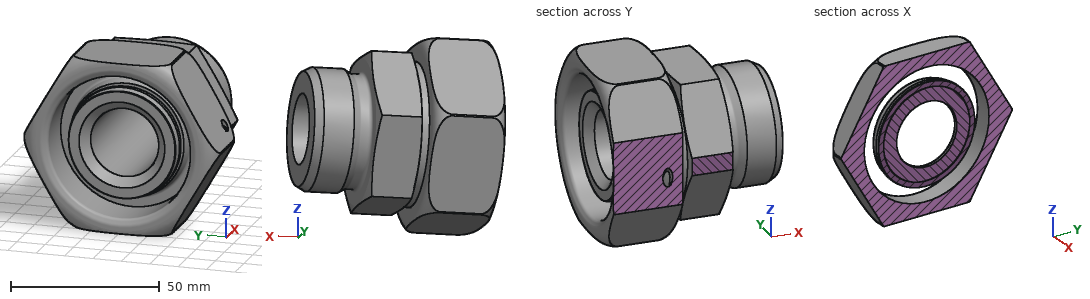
import cadquery as cq
import math


HEX_HALF_ANGLE = math.radians(30)
QUARTER_ARC_RISE = 1 - math.cos(math.radians(45))

NUT_LENGTH = 25.0
NUT_FLATS = 60.0
NUT_CORNER_DIAMETER = 69.0
NUT_CORNER_ROUND = 5.45
NUT_BORE_DIAMETER = 50.0
NUT_REAR_BORE_DIAMETER = 49.3
NUT_MOUTH_DIAMETER = 55.35
MOUTH_OUTER_ROUND = 1.9
MOUTH_INNER_ROUND = 1.45
MOUTH_ANGLE = 30.0

FITTING_LENGTH = 63.5
BODY_BORE_DIAMETER = 24.0
BORE_MOUTH_DIAMETER = 30.2
BORE_MOUTH_DEPTH = 3.1
CONE_ANGLE = 12.0
CONE_TIP_X = 4.4
CONE_TIP_DIAMETER = 37.75
CONE_TIP_CHAMFER = 0.2
CONE_FOOT_ROUND = 1.0
COLLAR_FACE_X = 14.9
COLLAR_END_X = 22.1
COLLAR_DIAMETER = NUT_BORE_DIAMETER
COLLAR_ROUND = 0.5
NECK_DIAMETER = 48.9
BODY_HEX_X = 27.5
BODY_HEX_LENGTH = 16.0
BODY_HEX_FLATS = 50.0
BODY_HEX_FACE_DIAMETER = 49.55
BODY_HEX_CHAMFER_ANGLE = 15.0

THREAD_DIAMETER = 42.0
THREAD_X = 50.15
THREAD_CHAMFER = 2.9
RELIEF_DIAMETER = 38.9
RELIEF_ROUND = 1.2
RELIEF_ANGLE = 30.0

SEAL_GROOVE_X = 7.2
SEAL_GROOVE_WIDTH = 3.0
SEAL_SECTION = 2.0

WIRE_DIAMETER = 3.3
WIRE_HOLE_DIAMETER = 3.5
WIRE_X = 19.5
WIRE_RING_RADIUS = NUT_REAR_BORE_DIAMETER / 2
WIRE_HOLE_ANGLE = 30.0
WIRE_HOLE_STEP = 1.25


def revolve_about_x(profile):
    """Revolve a closed XY profile, with Y as the radius, about the X axis."""
    return profile.close().revolve(360, (0, 0, 0), (1, 0, 0))


def hex_prism(x_start, length, across_flats):
    """Hexagonal bar along X with two flats parallel to the XY plane."""
    corner_diameter = across_flats / math.cos(HEX_HALF_ANGLE)
    return (
        cq.Workplane("YZ", origin=(x_start, 0, 0))
        .polygon(6, corner_diameter)
        .extrude(length)
    )


def round_ring(x, radius, section):
    """Ring of round section around X, given its place, centre-line radius and section diameter."""
    return (
        cq.Workplane("XY")
        .center(x, radius)
        .circle(section / 2)
        .revolve(360, (-x, -radius, 0), (0.7 - x, -radius, 0))
    )


def retaining_wire():
    """Wire that locks the nut to the collar, partly in each of them."""
    return round_ring(WIRE_X, WIRE_RING_RADIUS, WIRE_DIAMETER)


def nut_envelope():
    """Turned outline that rounds the hexagon corners at both ends."""
    radius = NUT_CORNER_DIAMETER / 2
    face_radius = radius - NUT_CORNER_ROUND
    middle = NUT_CORNER_ROUND * QUARTER_ARC_RISE
    return revolve_about_x(
        cq.Workplane("XY")
        .lineTo(0, face_radius)
        .threePointArc((middle, radius - middle), (NUT_CORNER_ROUND, radius))
        .lineTo(NUT_LENGTH - NUT_CORNER_ROUND, radius)
        .threePointArc((NUT_LENGTH - middle, radius - middle), (NUT_LENGTH, face_radius))
        .lineTo(NUT_LENGTH, 0)
    )


def nut_cavity():
    """Plain bore with its rounded mouth and the narrower rear bore."""
    angle = math.radians(MOUTH_ANGLE)
    inner_half = (angle + math.pi / 2) / 2
    mouth = NUT_MOUTH_DIAMETER / 2
    bore = NUT_BORE_DIAMETER / 2
    rear_bore = NUT_REAR_BORE_DIAMETER / 2

    def outer_arc(turn):
        return (MOUTH_OUTER_ROUND * (1 - math.cos(turn)), mouth - MOUTH_OUTER_ROUND * math.sin(turn))

    cone_start = outer_arc(angle)
    cone_end_radius = bore + MOUTH_INNER_ROUND * (1 - math.sin(angle))
    cone_end_x = cone_start[0] + (cone_start[1] - cone_end_radius) * math.tan(angle)
    bore_x = cone_end_x + MOUTH_INNER_ROUND * math.cos(angle)

    def inner_arc(turn):
        return (bore_x - MOUTH_INNER_ROUND * math.cos(turn), bore + MOUTH_INNER_ROUND * (1 - math.sin(turn)))

    return revolve_about_x(
        cq.Workplane("XY")
        .lineTo(0, mouth)
        .threePointArc(outer_arc(angle / 2), cone_start)
        .lineTo(cone_end_x, cone_end_radius)
        .threePointArc(inner_arc(inner_half), (bore_x, bore))
        .lineTo(COLLAR_END_X, bore)
        .lineTo(COLLAR_END_X, rear_bore)
        .lineTo(NUT_LENGTH, rear_bore)
        .lineTo(NUT_LENGTH, 0)
    )


def wire_hole():
    """Stepped hole from a hexagon flat, tangent to the wire ring and outside the collar."""
    angle = math.radians(WIRE_HOLE_ANGLE)
    direction = cq.Vector(0, math.sin(angle), -math.cos(angle))
    tangent_point = cq.Vector(
        WIRE_X, -WIRE_RING_RADIUS * math.cos(angle), -WIRE_RING_RADIUS * math.sin(angle)
    )
    normal = cq.Vector(0, -math.cos(HEX_HALF_ANGLE), math.sin(HEX_HALF_ANGLE))
    travel = (NUT_FLATS / 2 - tangent_point.dot(normal)) / direction.dot(normal)
    entry = tangent_point + direction * travel
    start = entry - direction * WIRE_HOLE_DIAMETER
    mouth = cq.Solid.makeCylinder(
        WIRE_HOLE_DIAMETER / 2, WIRE_HOLE_DIAMETER + WIRE_HOLE_STEP, start, direction
    )
    channel = cq.Solid.makeCylinder(WIRE_DIAMETER / 2, -travel, entry, direction)
    collar_space = cq.Workplane("YZ").circle(COLLAR_DIAMETER / 2).extrude(NUT_LENGTH)
    return cq.Workplane(mouth).union(cq.Workplane(channel)).cut(collar_space)


def swivel_nut():
    """Hexagon nut that turns on the collar of the body."""
    nut = hex_prism(0, NUT_LENGTH, NUT_FLATS).intersect(nut_envelope())
    return nut.cut(nut_cavity()).cut(wire_hole()).cut(retaining_wire())


def cone_radius(x):
    """Radius of the sealing cone at a place along the axis."""
    return CONE_TIP_DIAMETER / 2 + (x - CONE_TIP_X) * math.tan(math.radians(CONE_ANGLE))


def body_front():
    """Sealing cone, collar and neck, up to the hexagon."""
    collar = COLLAR_DIAMETER / 2
    neck = NECK_DIAMETER / 2
    slope = math.radians(CONE_ANGLE)
    tip_chamfer_radius = cone_radius(CONE_TIP_X + CONE_TIP_CHAMFER)
    foot_centre_x = COLLAR_FACE_X - CONE_FOOT_ROUND
    foot_centre_radius = cone_radius(foot_centre_x) + CONE_FOOT_ROUND / math.cos(slope)

    def foot_arc(turn):
        return (
            foot_centre_x + CONE_FOOT_ROUND * math.sin(turn),
            foot_centre_radius - CONE_FOOT_ROUND * math.cos(turn),
        )

    round_middle = COLLAR_ROUND * QUARTER_ARC_RISE
    return revolve_about_x(
        cq.Workplane("XY")
        .moveTo(CONE_TIP_X, 0)
        .lineTo(CONE_TIP_X, tip_chamfer_radius - CONE_TIP_CHAMFER)
        .lineTo(CONE_TIP_X + CONE_TIP_CHAMFER, tip_chamfer_radius)
        .lineTo(*foot_arc(slope))
        .threePointArc(foot_arc((slope + math.pi / 2) / 2), (COLLAR_FACE_X, foot_centre_radius))
        .lineTo(COLLAR_FACE_X, collar - COLLAR_ROUND)
        .threePointArc(
            (COLLAR_FACE_X + round_middle, collar - round_middle),
            (COLLAR_FACE_X + COLLAR_ROUND, collar),
        )
        .lineTo(COLLAR_END_X, collar)
        .lineTo(COLLAR_END_X, neck)
        .lineTo(BODY_HEX_X, neck)
        .lineTo(BODY_HEX_X, 0)
    )


def body_hexagon():
    """Wrench hexagon with a shallow chamfer on both faces."""
    end_x = BODY_HEX_X + BODY_HEX_LENGTH
    face = BODY_HEX_FACE_DIAMETER / 2
    corner = BODY_HEX_FLATS / 2 / math.cos(HEX_HALF_ANGLE)
    chamfer = (corner - face) * math.tan(math.radians(BODY_HEX_CHAMFER_ANGLE))
    envelope = revolve_about_x(
        cq.Workplane("XY")
        .moveTo(BODY_HEX_X, 0)
        .lineTo(BODY_HEX_X, face)
        .lineTo(BODY_HEX_X + chamfer, corner)
        .lineTo(end_x - chamfer, corner)
        .lineTo(end_x, face)
        .lineTo(end_x, 0)
    )
    return hex_prism(BODY_HEX_X, BODY_HEX_LENGTH, BODY_HEX_FLATS).intersect(envelope)


def threaded_end():
    """Relief groove with rounded ends, and the plain thread diameter."""
    start_x = BODY_HEX_X + BODY_HEX_LENGTH
    thread = THREAD_DIAMETER / 2
    relief = RELIEF_DIAMETER / 2
    slope = math.radians(RELIEF_ANGLE)
    round_middle = RELIEF_ROUND * QUARTER_ARC_RISE
    arc_rise = RELIEF_ROUND * (1 - math.cos(slope))
    cone_start_x = THREAD_X - (thread - relief - arc_rise) / math.tan(slope)
    arc_start_x = cone_start_x - RELIEF_ROUND * math.sin(slope)
    arc_middle = (
        arc_start_x + RELIEF_ROUND * math.sin(slope / 2),
        relief + RELIEF_ROUND * (1 - math.cos(slope / 2)),
    )
    return revolve_about_x(
        cq.Workplane("XY")
        .moveTo(start_x, 0)
        .lineTo(start_x, relief + RELIEF_ROUND)
        .threePointArc(
            (start_x + round_middle, relief + round_middle), (start_x + RELIEF_ROUND, relief)
        )
        .lineTo(arc_start_x, relief)
        .threePointArc(arc_middle, (cone_start_x, relief + arc_rise))
        .lineTo(THREAD_X, thread)
        .lineTo(FITTING_LENGTH - THREAD_CHAMFER, thread)
        .lineTo(FITTING_LENGTH, relief)
        .lineTo(FITTING_LENGTH, 0)
    )


def body_bore():
    """Through bore with a conical mouth at the sealing end."""
    bore = BODY_BORE_DIAMETER / 2
    return revolve_about_x(
        cq.Workplane("XY")
        .moveTo(CONE_TIP_X, 0)
        .lineTo(CONE_TIP_X, BORE_MOUTH_DIAMETER / 2)
        .lineTo(CONE_TIP_X + BORE_MOUTH_DEPTH, bore)
        .lineTo(FITTING_LENGTH, bore)
        .lineTo(FITTING_LENGTH, 0)
    )


def seal_floor_radius():
    """Groove floor that sets the sealing ring flush with the small end of the groove."""
    return cone_radius(SEAL_GROOVE_X) - SEAL_SECTION


def seal_groove():
    """Square groove around the cone that holds the sealing ring."""
    return (
        cq.Workplane("YZ", origin=(SEAL_GROOVE_X, 0, 0))
        .circle(COLLAR_DIAMETER / 2)
        .circle(seal_floor_radius())
        .extrude(SEAL_GROOVE_WIDTH)
    )


def connector_body():
    """Cone, collar, hexagon and threaded end in one piece."""
    body = body_front().union(body_hexagon()).union(threaded_end())
    return body.cut(body_bore()).cut(seal_groove()).cut(retaining_wire())


def seal_ring():
    """Round sealing ring resting on the groove floor."""
    radius = seal_floor_radius() + SEAL_SECTION / 2
    return round_ring(SEAL_GROOVE_X + SEAL_GROOVE_WIDTH / 2, radius, SEAL_SECTION)


nut = swivel_nut()
body = connector_body()
seal = seal_ring()
wire = retaining_wire()

result = cq.Compound.makeCompound([nut.val(), body.val(), seal.val(), wire.val()])